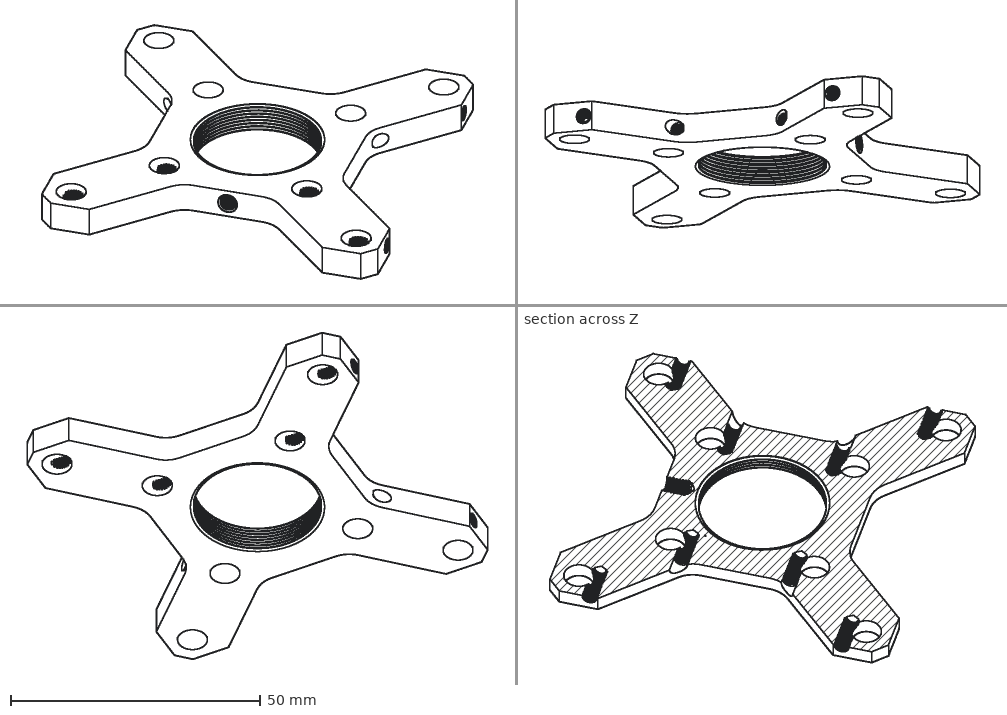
import cadquery as cq
import math

span = 70.6
thickness = 6.0
half_span = span / 2
half_body = 20.5
arm_edge = 10.8
corner_chamfer = 2.75
fillet_radius = 6.0

hole_diameter = 6.0
inner_hole_offset = 15.0
outer_hole_offset = 2 * inner_hole_offset

bore_major = 27.0
bore_minor = 25.7
bore_turns = 8
bore_pitch = thickness / bore_turns

front_major = 4.0
front_minor = 3.25
front_pitch = 0.7
front_depth = 5.3

clamp_major = 3.05
clamp_minor = 2.4
clamp_pitch = 0.5
clamp_shift = 3.7
clamp_overrun = hole_diameter / 2
inner_thread_start = 20.05
clamp_mouth = 4.25

root_flat = 0.15
crest_flat = 0.25

drill_half_angle = 59.0


def threaded_cutter(major, minor, pitch, length):
    """Cutter along +Z from the origin: ring-shaped thread grooves ending in a drill point."""
    root = major / 2
    crest = minor / 2
    turns = round(length / pitch)
    step = length / turns
    points = [(0, 0)]
    for turn in range(turns):
        base = turn * step
        points.append((root, base))
        points.append((root, base + root_flat * step))
        points.append((crest, base + (1 - crest_flat + root_flat) / 2 * step))
        points.append((crest, base + (1 + crest_flat + root_flat) / 2 * step))
    points.append((crest, length))
    points.append((0, length + crest / math.tan(math.radians(drill_half_angle))))
    return cq.Workplane("XZ").polyline(points).close().revolve(360, (0, 0, 0), (0, 1, 0))


def make_plate():
    """Square body with four diagonal arms, centred on the origin."""
    flank = half_span - arm_edge
    flank_foot = half_body - arm_edge
    tip = half_span - corner_chamfer
    quarter = [
        (half_body, flank_foot),
        (half_span, flank),
        (half_span, tip),
        (tip, half_span),
        (flank, half_span),
        (flank_foot, half_body),
    ]
    outline = []
    for _ in range(4):
        for x, y in quarter:
            outline.append((x, y))
        quarter = [(-y, x) for x, y in quarter]
    plate = cq.Workplane("XY").polyline(outline).close().extrude(thickness / 2, both=True)
    flank_feet = cq.selectors.BoxSelector(
        (-flank, -flank, -thickness),
        (flank, flank, thickness),
    )
    return plate.edges("|Z").edges(flank_feet).fillet(fillet_radius)


def cut_mounting_holes(body):
    """One inner and one outer through hole on each arm."""
    centres = [
        (sx * offset, sy * offset)
        for offset in (inner_hole_offset, outer_hole_offset)
        for sx in (-1, 1)
        for sy in (-1, 1)
    ]
    holes = cq.Workplane("XY").pushPoints(centres).circle(hole_diameter / 2).extrude(thickness, both=True)
    return body.cut(holes)


def cut_bore(body):
    """Through bore with whole thread turns, so it opens at the major diameter on both faces."""
    bore = threaded_cutter(bore_major, bore_minor, bore_pitch, thickness + bore_pitch)
    bore = bore.rotate((0, 0, 0), (1, 0, 0), 180)
    return body.cut(bore.translate((0, 0, thickness / 2)))


def cut_front_screw(body):
    """Blind threaded hole in the -Y side, pointing at the bore."""
    screw = threaded_cutter(front_major, front_minor, front_pitch, front_depth)
    screw = screw.rotate((0, 0, 0), (1, 0, 0), -90)
    return body.cut(screw.translate((0, -half_body, 0)))


def cut_clamp_screws(body):
    """Screw holes along X, entering from both X sides beside every mounting hole."""
    for offset, start in ((inner_hole_offset, inner_thread_start), (outer_hole_offset, half_span)):
        length = start - offset + clamp_overrun
        screw = threaded_cutter(clamp_major, clamp_minor, clamp_pitch, length)
        mouth = cq.Workplane("XY").circle(clamp_major / 2).extrude(-clamp_mouth)
        screw = screw.union(mouth).rotate((0, 0, 0), (0, 1, 0), 90)
        for sy in (-1, 1):
            placed = screw.translate((-start, sy * (offset - clamp_shift), 0))
            body = body.cut(placed).cut(placed.mirror("YZ"))
    return body


result = make_plate()
result = cut_mounting_holes(result)
result = cut_bore(result)
result = cut_front_screw(result)
result = cut_clamp_screws(result)